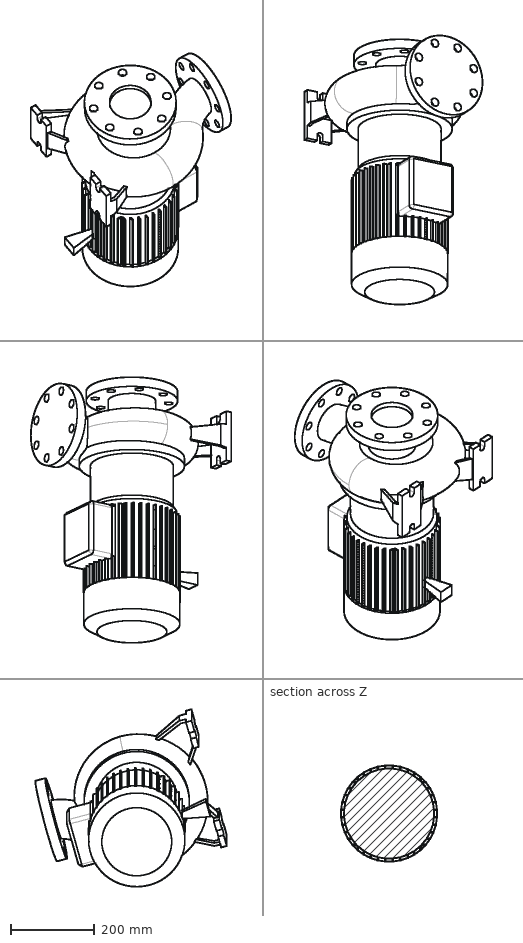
import cadquery as cq
import math


TOTAL_HEIGHT = 608.0
COVER_RADIUS = 115.5
COVER_BASE_RADIUS = 84.0
COVER_TAPER = 19.5
COVER_TOP = 99.0
MOTOR_RADIUS = 108.0
FIN_TOP = 288.0
MOTOR_SHOULDER = 301.0
MOTOR_TOP = 312.5
LANTERN_RADIUS = 100.0

FIN_RADIUS = 116.0
FIN_THICKNESS = 2.5
FIN_PITCH_ANGLE = 9
FINS_PER_GROUP = 10

BOX_WIDTH = 121.5
BOX_BOTTOM = 153.0
BOX_REACH = 160.0
BOX_FILLET = 9.0
BOX_CHAMFER = 8.5

PROP_Z = 162.0
PROP_REACH = 177.5
PROP_ROOT_Y = 103.5
PROP_ROOT_SIZE = (12.0, 19.5)
PROP_END_SIZE = (39.0, 30.5)

VOLUTE_Z = 483.0
TUBE_RADIUS = 47.5
VOLUTE_BEND = 120.0
VOLUTE_START_X = 134.0
VOLUTE_CENTER_X = VOLUTE_START_X - VOLUTE_BEND
TONGUE_BEND = VOLUTE_BEND - VOLUTE_CENTER_X
TONGUE_ANGLE = 120
TONGUE_END_RADIUS = 42.5

CASING_RADIUS = 126.5
CASING_BOTTOM = 419.0
CASING_TOP = 518.5

NECK_RADIUS = 57.0
SUCTION_RADIUS = 110.0
SUCTION_THICKNESS = 24.0
SUCTION_BORE_RADIUS = 50.0
SUCTION_BORE_DEPTH = 13.0
SUCTION_BOLT_RADIUS = 90.0
DISCHARGE_RADIUS = 100.5
DISCHARGE_THICKNESS = 24.5
DISCHARGE_FACE_Y = 225.0
DISCHARGE_BOLT_RADIUS = 82.0
BOLT_COUNT = 8
BOLT_HOLE_DIAMETER = 19.5

FOOT_OUTER_X = 160.0
FOOT_WIDTH = 67.0
FOOT_INNER_X = FOOT_OUTER_X - FOOT_WIDTH
FOOT_HEIGHT = 124.5
FOOT_FACE_Y = -180.0
FOOT_THICKNESS = 14.0
SLOT_WIDTH = 15.0
SLOT_DEPTH = 20.5
SLOT_X = 124.5
LEG_WALL = 7.0
LEG_WEB = 7.0
LEG_ROOT_HALF_HEIGHT = 32.0
LEG_TIP_HALF_HEIGHT = 13.0
LEG_SHOULDER_Y = -149.5
LEG_SIDE_Y = -176.0
LEG_OUTER_TIP_X = 121.5
LEG_TIP_Y = -67.0
LEG_INNER_TIP_X = 36.5
LEG_INNER_TIP_Y = -139.0


def cylinder(radius, bottom, top):
    return cq.Workplane("XY").workplane(offset=bottom).circle(radius).extrude(top - bottom)


def make_motor():
    profile = [
        (0, 0),
        (COVER_BASE_RADIUS, 0),
        (COVER_RADIUS, COVER_TAPER),
        (COVER_RADIUS, COVER_TOP),
        (MOTOR_RADIUS, COVER_TOP),
        (MOTOR_RADIUS, MOTOR_SHOULDER),
        (LANTERN_RADIUS, MOTOR_TOP),
        (LANTERN_RADIUS, CASING_BOTTOM),
        (0, CASING_BOTTOM),
    ]
    return cq.Workplane("XZ").polyline(profile).close().revolve(360, (0, 0, 0), (0, 1, 0))


def make_fins():
    """Thin plates clipped to the fin circle; each plate forms a fin on both sides of the motor."""
    fin_height = FIN_TOP - COVER_TOP
    plates = cq.Workplane("XY")
    for index in range(FINS_PER_GROUP):
        angle = math.radians((index - (FINS_PER_GROUP - 1) / 2) * FIN_PITCH_ANGLE)
        offset = FIN_RADIUS * math.sin(angle)
        length = 2 * FIN_RADIUS
        base = cq.Workplane("XY").workplane(offset=COVER_TOP).center(0, offset)
        plate = base.rect(length, FIN_THICKNESS).extrude(fin_height)
        plates = plates.add(plate).add(plate.rotate((0, 0, 0), (0, 0, 1), 90))
    return plates.combine().intersect(cylinder(FIN_RADIUS, COVER_TOP, FIN_TOP))


def make_terminal_box():
    height = FIN_TOP - BOX_BOTTOM
    box = cq.Workplane("XY").box(BOX_WIDTH, BOX_REACH, height, centered=(True, False, False))
    box = box.edges("|Y").fillet(BOX_FILLET).faces(">Y").chamfer(BOX_CHAMFER)
    return box.translate((0, 0, BOX_BOTTOM))


def make_prop():
    root = cq.Workplane("XZ", origin=(0, 0, PROP_Z)).workplane(offset=PROP_ROOT_Y).rect(*PROP_ROOT_SIZE)
    return root.workplane(offset=PROP_REACH - PROP_ROOT_Y).rect(*PROP_END_SIZE).loft()


def make_volute():
    """Volute and discharge pipe: one tube through two tangent arcs, ending square to +Y."""
    bend_angle = 2 * math.atan(VOLUTE_START_X / DISCHARGE_FACE_Y)
    bend_end = (
        VOLUTE_CENTER_X + VOLUTE_BEND * math.cos(bend_angle),
        VOLUTE_BEND * math.sin(bend_angle),
    )
    path = (
        cq.Workplane("XY", origin=(0, 0, VOLUTE_Z))
        .moveTo(-TONGUE_BEND, 0)
        .threePointArc((VOLUTE_CENTER_X, -VOLUTE_BEND), (VOLUTE_START_X, 0))
        .tangentArcPoint(bend_end, relative=False)
        .tangentArcPoint((0, DISCHARGE_FACE_Y), relative=False)
    )
    section = cq.Workplane("XZ", origin=(-TONGUE_BEND, 0, VOLUTE_Z)).circle(TUBE_RADIUS)
    return section.sweep(path)


def make_tongue():
    """Last part of the volute, tapering about the shaft until it runs into the discharge pipe."""

    def ring_point(turn):
        angle = math.radians(180 - turn)
        return cq.Vector(TONGUE_BEND * math.cos(angle), TONGUE_BEND * math.sin(angle), VOLUTE_Z)

    start = ring_point(0)
    end = ring_point(TONGUE_ANGLE)
    path = cq.Edge.makeThreePointArc(start, ring_point(TONGUE_ANGLE / 2), end)
    start_section = cq.Wire.makeCircle(TUBE_RADIUS, start, path.tangentAt(0))
    end_section = cq.Wire.makeCircle(TONGUE_END_RADIUS, end, path.tangentAt(1))
    return cq.Workplane(cq.Solid.sweep_multi([start_section, end_section], path))


def make_flange(radius, thickness, bolt_radius):
    """Bolted disc whose outer face is at local Z = 0 and whose body lies below it."""
    disc = cylinder(radius, -thickness, 0)
    holes = disc.faces(">Z").workplane().polarArray(bolt_radius, 180 / BOLT_COUNT, 360, BOLT_COUNT)
    return holes.hole(BOLT_HOLE_DIAMETER)


def make_suction_flange():
    flange = make_flange(SUCTION_RADIUS, SUCTION_THICKNESS, SUCTION_BOLT_RADIUS)
    bore = cylinder(SUCTION_BORE_RADIUS, -SUCTION_BORE_DEPTH, 0)
    return flange.cut(bore).translate((0, 0, TOTAL_HEIGHT))


def make_discharge_flange():
    flange = make_flange(DISCHARGE_RADIUS, DISCHARGE_THICKNESS, DISCHARGE_BOLT_RADIUS)
    upright = flange.rotate((0, 0, 0), (1, 0, 0), -90)
    return upright.translate((0, DISCHARGE_FACE_Y, VOLUTE_Z))


def make_leg():
    """Channel-section leg of the +X foot, running from the plate into the volute."""
    outline = [
        (FOOT_OUTER_X, FOOT_FACE_Y),
        (FOOT_OUTER_X, LEG_SHOULDER_Y),
        (LEG_OUTER_TIP_X, LEG_TIP_Y),
        (LEG_INNER_TIP_X, LEG_INNER_TIP_Y),
        (FOOT_INNER_X, LEG_SIDE_Y),
        (FOOT_INNER_X, FOOT_FACE_Y),
    ]
    side_profile = [
        (FOOT_FACE_Y, LEG_ROOT_HALF_HEIGHT),
        (LEG_TIP_Y, LEG_TIP_HALF_HEIGHT),
        (LEG_TIP_Y, -LEG_TIP_HALF_HEIGHT),
        (FOOT_FACE_Y, -LEG_ROOT_HALF_HEIGHT),
    ]
    plan = cq.Workplane("XY").polyline(outline).close()
    solid = plan.extrude(FOOT_HEIGHT / 2, both=True)
    wedge = cq.Workplane("YZ").polyline(side_profile).close().extrude(FOOT_OUTER_X)
    pocket = cq.Workplane("XY").polyline(outline).close().offset2D(-LEG_WALL)
    pocket = pocket.extrude(FOOT_HEIGHT / 2, both=True)
    web = cq.Workplane("XY").box(4 * FOOT_OUTER_X, 4 * FOOT_OUTER_X, LEG_WEB)
    return solid.intersect(wedge).cut(pocket.cut(web))


def make_foot():
    """The +X foot, centred on Z = 0: slotted plate plus leg."""
    plate = cq.Workplane("XY").box(FOOT_WIDTH, FOOT_THICKNESS, FOOT_HEIGHT, centered=(False, False, True))
    plate = plate.translate((FOOT_INNER_X, FOOT_FACE_Y, 0))
    slot_length = 2 * SLOT_DEPTH
    slots = (
        cq.Workplane("XZ", origin=(SLOT_X, FOOT_FACE_Y, 0))
        .pushPoints([(0, FOOT_HEIGHT / 2), (0, -FOOT_HEIGHT / 2)])
        .slot2D(slot_length, SLOT_WIDTH, 90)
        .extrude(-FOOT_THICKNESS)
    )
    return make_leg().union(plate).cut(slots)


foot = make_foot().translate((0, 0, VOLUTE_Z))
casing = cylinder(CASING_RADIUS, CASING_BOTTOM, CASING_TOP)
neck = cylinder(NECK_RADIUS, CASING_TOP, TOTAL_HEIGHT - SUCTION_THICKNESS)

result = make_motor()
for feature in (
    make_fins(),
    make_terminal_box(),
    make_prop(),
    casing,
    make_volute(),
    make_tongue(),
    neck,
    make_suction_flange(),
    make_discharge_flange(),
    foot,
    foot.mirror("YZ"),
):
    result = result.union(feature)